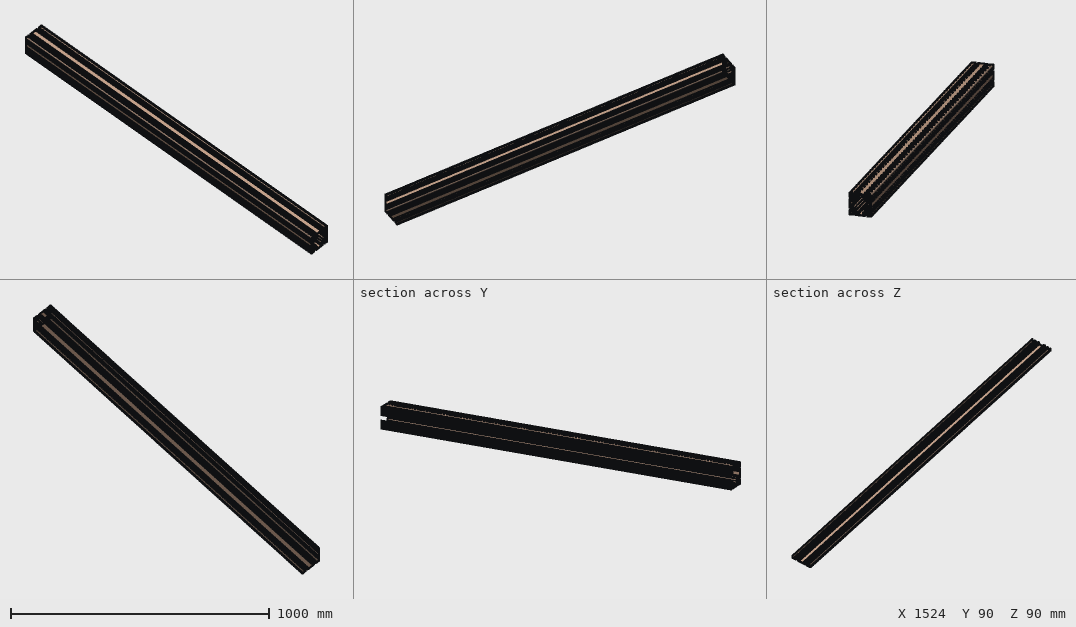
import cadquery as cq

length = 1524.0
side = 90.0
half_side = side / 2
cell_center = side / 4
corner_radius = 2.5
outer_wall = 3.0
web = 3.0

slot_opening = 9.0
lip_thickness = 5.0
pocket_width = 17.5
pocket_floor_width = 6.0
pocket_wall_depth = 9.9
pocket_depth = 13.0

core_diameter = 11.7
core_hole_diameter = 8.4

corner_hollow_size = 9.0
corner_hollow_radius = 0.9
corner_hollow_center = half_side - outer_wall - corner_hollow_size / 2

cavity_arm_half_width = cell_center - pocket_width / 2 - web
cavity_arm_reach = half_side - outer_wall
cavity_shoulder = half_side - pocket_wall_depth - web
cavity_corner_inset = 2.0
cavity_corner = cell_center - cavity_corner_inset


def prism(outline):
    """Full-length prism from a closed outline of (y, z) points."""
    return cq.Workplane("YZ").polyline(outline).close().extrude(length)


def four_ways(solid):
    """The solid repeated at quarter turns about the bar's axis."""
    copies = solid
    for turn in (90, 180, 270):
        copies = copies.union(solid.rotate((0, 0, 0), (1, 0, 0), turn))
    return copies


def t_slot(center):
    """T-slot cutter opening through the top face, with a tapered floor."""
    half_outline = [
        (slot_opening / 2, half_side),
        (slot_opening / 2, half_side - lip_thickness),
        (pocket_width / 2, half_side - lip_thickness),
        (pocket_width / 2, half_side - pocket_wall_depth),
        (pocket_floor_width / 2, half_side - pocket_depth),
    ]
    right = [(center + y, z) for y, z in half_outline]
    left = [(center - y, z) for y, z in reversed(half_outline)]
    return prism(right + left)


def central_cavity():
    """Cross-shaped hollow with slanted walls between its arms."""
    quarter = [
        (cavity_arm_reach, cavity_arm_half_width),
        (cavity_shoulder, cavity_arm_half_width),
        (cavity_corner, cavity_corner),
        (cavity_arm_half_width, cavity_shoulder),
        (cavity_arm_half_width, cavity_arm_reach),
    ]
    outline = []
    for _ in range(4):
        outline += quarter
        quarter = [(-z, y) for y, z in quarter]
    return prism(outline)


def core_rod(diameter):
    """Full-length rod along a cell's axis."""
    return cq.Workplane("YZ").center(cell_center, cell_center).circle(diameter / 2).extrude(length)


def corner_hollow():
    """Square cutter with rounded edges, just inside an outer corner."""
    return (
        cq.Workplane("YZ")
        .center(corner_hollow_center, corner_hollow_center)
        .rect(corner_hollow_size, corner_hollow_size)
        .extrude(length)
        .edges("|X")
        .fillet(corner_hollow_radius)
    )


bar = cq.Workplane("YZ").rect(side, side).extrude(length).edges("|X").fillet(corner_radius)
slots = four_ways(t_slot(cell_center).union(t_slot(-cell_center)))
result = (
    bar.cut(slots)
    .cut(central_cavity())
    .union(four_ways(core_rod(core_diameter)))
    .cut(four_ways(core_rod(core_hole_diameter)))
    .cut(four_ways(corner_hollow()))
)